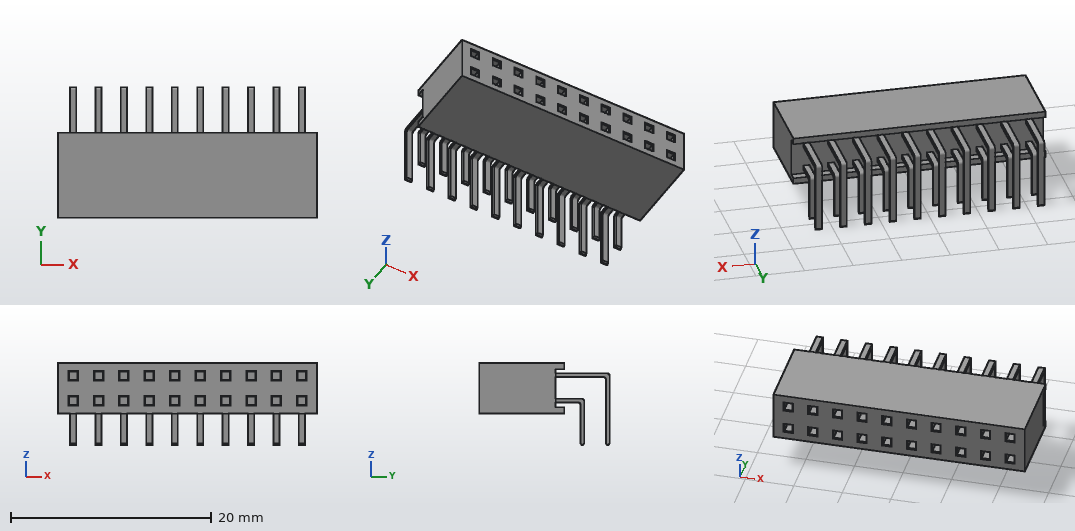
import cadquery as cq

PITCH = 2.54
COLUMNS = 10
ROWS = 2

END_MARGIN = 0.51
HOUSING_LENGTH = COLUMNS * PITCH + END_MARGIN
HOUSING_DEPTH = 8.5
HOUSING_HEIGHT = 5.05
LIP_THICKNESS = 0.63
REAR_RECESS = 0.88

SOCKET_SIZE = 0.8
SOCKET_LEAD_IN = 0.1
SOCKET_DEPTH = 6.0

PIN_WIDTH = 0.64
PIN_THICKNESS = 0.4
PIN_RISE = 0.03
PIN_OUTER_BEND = 0.27
PIN_INNER_BEND = 0.2
PIN_TIP_HEIGHT = 0.16
PIN_TIP_SETBACK = 0.14
TOTAL_DEPTH = 13.04
TOTAL_HEIGHT = 8.2

recess_y = HOUSING_DEPTH - REAR_RECESS
pin_bottom = HOUSING_HEIGHT - TOTAL_HEIGHT
column_positions = [(i - (COLUMNS - 1) / 2) * PITCH for i in range(COLUMNS)]
row_heights = [HOUSING_HEIGHT / 2 + (i - (ROWS - 1) / 2) * PITCH for i in range(ROWS)]


def make_housing():
    """Rectangular block with a rear channel left between an upper and a lower lip."""
    block = cq.Workplane("XY").box(
        HOUSING_LENGTH, HOUSING_DEPTH, HOUSING_HEIGHT, centered=(True, False, False)
    )
    channel = (
        cq.Workplane("XY")
        .box(
            HOUSING_LENGTH,
            REAR_RECESS,
            HOUSING_HEIGHT - 2 * LIP_THICKNESS,
            centered=(True, False, False),
        )
        .translate((0, recess_y, LIP_THICKNESS))
    )
    return block.cut(channel)


def make_socket(x, z):
    """Blind square socket with a 45 degree lead-in at its mouth."""
    mouth_size = SOCKET_SIZE + 2 * SOCKET_LEAD_IN
    front_plane = cq.Workplane("XZ", origin=(x, 0, z))
    shaft = front_plane.rect(SOCKET_SIZE, SOCKET_SIZE).extrude(-SOCKET_DEPTH)
    lead_in = (
        front_plane.rect(mouth_size, mouth_size)
        .workplane(offset=-SOCKET_LEAD_IN)
        .rect(SOCKET_SIZE, SOCKET_SIZE)
        .loft(combine=True)
    )
    return shaft.union(lead_in)


def make_pin(x, z, rear_y):
    """Pin leaving the channel floor at height z and bending down at rear_y."""
    top = z + PIN_THICKNESS / 2
    underside = z - PIN_THICKNESS / 2
    inner_y = rear_y - PIN_THICKNESS
    tip_start = pin_bottom + PIN_TIP_HEIGHT
    return (
        cq.Workplane("YZ", origin=(x - PIN_WIDTH / 2, 0, 0))
        .moveTo(recess_y, top)
        .lineTo(rear_y - PIN_OUTER_BEND, top)
        .radiusArc((rear_y, top - PIN_OUTER_BEND), PIN_OUTER_BEND)
        .lineTo(rear_y, tip_start)
        .lineTo(rear_y - PIN_TIP_SETBACK, pin_bottom)
        .lineTo(inner_y + PIN_TIP_SETBACK, pin_bottom)
        .lineTo(inner_y, tip_start)
        .lineTo(inner_y, underside - PIN_INNER_BEND)
        .radiusArc((inner_y - PIN_INNER_BEND, underside), -PIN_INNER_BEND)
        .lineTo(recess_y, underside)
        .close()
        .extrude(PIN_WIDTH)
    )


result = make_housing()
for row, row_z in enumerate(row_heights):
    bend_y = TOTAL_DEPTH - (ROWS - 1 - row) * PITCH
    for column_x in column_positions:
        result = result.cut(make_socket(column_x, row_z))
        result = result.union(make_pin(column_x, row_z + PIN_RISE, bend_y))